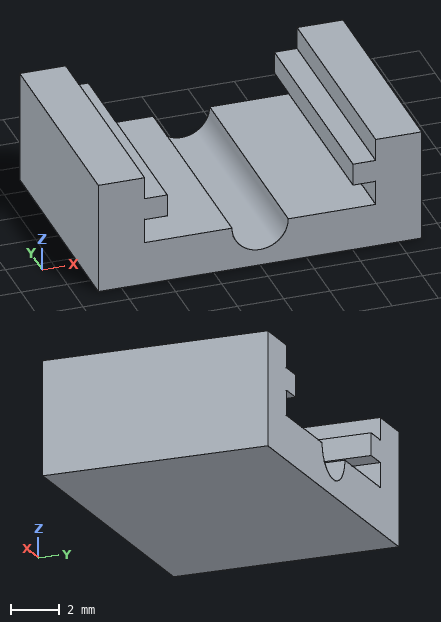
import cadquery as cq

width = 14.0
length = 10.0
height = 4.98

wall_thickness = 2.0
floor_thickness = 1.95
channel_width = width - 2 * wall_thickness

rail_projection = 0.98
rail_height = 0.98
rail_top_drop = 0.98

groove_radius = 1.22

block = cq.Workplane("XY").box(width, length, height, centered=(True, True, False))

channel = (
    cq.Workplane("XY", origin=(0, 0, floor_thickness))
    .box(channel_width, length, height - floor_thickness, centered=(True, True, False))
)
groove = (
    cq.Workplane("XZ", origin=(0, length / 2, floor_thickness))
    .circle(groove_radius)
    .extrude(length)
)
result = block.cut(channel).cut(groove)


def rail(side):
    """Full-length rail on the wall at side -1 (-X) or +1 (+X)."""
    center_x = side * (channel_width - rail_projection) / 2
    center_z = height - rail_top_drop - rail_height / 2
    return (
        cq.Workplane("XY", origin=(center_x, 0, center_z))
        .box(rail_projection, length, rail_height)
    )


for side in (-1, 1):
    result = result.union(rail(side))